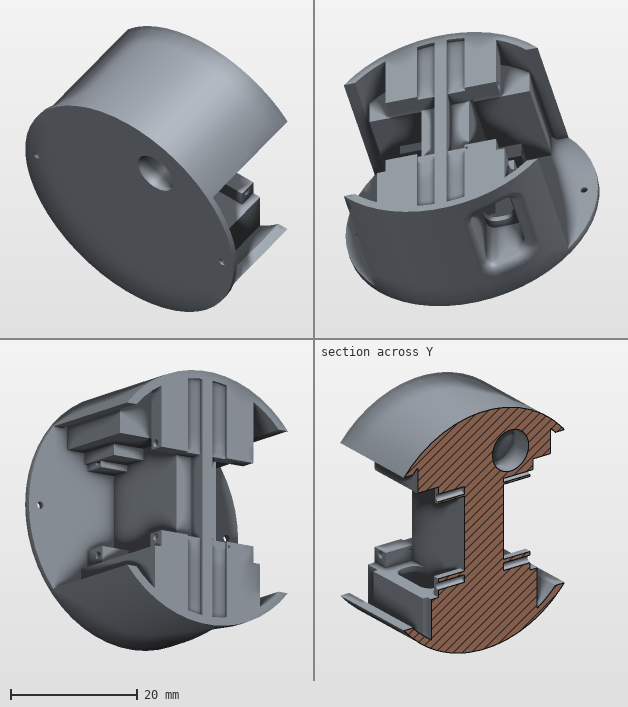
import cadquery as cq
import math

outer_diameter = 41.25
depth = 20.6
plate_thickness = 1.0
shell_thickness = 1.35
outer_radius = outer_diameter / 2
inner_radius = outer_radius - shell_thickness

side_flat_x = 15.85
window_half_height = math.sqrt(outer_radius**2 - side_flat_x**2)
core_half_width = 3.88
core_back_y = 20.0
web_half_width = 1.0

post_x = 9.03
upper_block_x = 13.05
upper_block_back_y = 15.0
upper_block_bottom_z = 9.77
lower_block_x = 10.4
lower_block_top_z = -9.25

slot_front_y = 17.65
slot_bottom_z = -6.55
slot_top_z = 7.0

rear_upper_post_front_y = 17.9
front_upper_post_back_y = 4.58
front_upper_post_bottom_z = 6.9
front_lower_post_back_y = 4.85
front_lower_post_top_z = -6.0

mount_hole_diameter = 1.25
mount_hole_spacing = 15.25
mount_center_y = 11.4
mount_center_z = 0.3

plate_hole_diameter = 1.2
plate_hole_x = 18.35
bore_diameter = 7.0
bore_x = 5.2
bore_z = 12.4
bore_depth = 7.85
bore_housing_wall = 1.0

cross_hole_diameter = 0.5
cross_hole_x = -4.25
cross_hole_z = mount_center_z - mount_hole_spacing / 2

pad_x = 11.3
pad_y = (4.7, 17.9)
opening_wall_x = 10.1
opening_y = (5.6, 17.28)
opening_corner_radius = 1.4
opening_flare_radius = 1.5
lip_thickness = 1.0
lip_width = 1.25
lip_corner_radius = 1.98
selection_margin = 0.05


def box(x_range, y_range, z_range):
    """Axis-aligned box between the given limits."""
    sizes = [high - low for low, high in (x_range, y_range, z_range)]
    corner = (x_range[0], y_range[0], z_range[0])
    return cq.Workplane("XY").box(*sizes, centered=False).translate(corner)


def rod(radius, y_start, y_end, x=0.0, z=0.0):
    """Solid cylinder parallel to Y."""
    return (
        cq.Workplane("XZ", origin=(x, y_start, z))
        .circle(radius)
        .extrude(-(y_end - y_start))
    )


def left_well_blocks():
    """Blocks and drilled posts in the left well, before trimming to the drum."""
    core_face = -core_half_width
    post_range = (-post_x, core_face)
    top = outer_radius
    front = plate_thickness
    blocks = [
        box((-upper_block_x, core_face), (front, upper_block_back_y), (upper_block_bottom_z, top)),
        box((-lower_block_x, core_face), (front, depth), (-outer_radius, lower_block_top_z)),
        box(post_range, (rear_upper_post_front_y, depth), (slot_top_z, top)),
        box(post_range, (slot_front_y, depth), (lower_block_top_z, slot_bottom_z)),
        box(post_range, (front, front_upper_post_back_y),
            (front_upper_post_bottom_z, upper_block_bottom_z)),
        box(post_range, (front, front_lower_post_back_y),
            (lower_block_top_z, front_lower_post_top_z)),
    ]
    body = blocks[0]
    for block in blocks[1:]:
        body = body.union(block)
    holes = (
        cq.Workplane("YZ", origin=(-post_x, mount_center_y, mount_center_z))
        .rect(mount_hole_spacing, mount_hole_spacing, forConstruction=True)
        .vertices()
        .circle(mount_hole_diameter / 2)
        .extrude(post_x - core_half_width)
    )
    return body.cut(holes)


def core():
    """Middle block with a thin full-depth web and a rear slot on each side."""
    full_z = (-outer_radius, outer_radius)
    half_width = core_half_width
    block = box((-half_width, half_width), (0, core_back_y), full_z)
    slots = box((-half_width, half_width), (slot_front_y, depth), (slot_bottom_z, slot_top_z))
    web = box((-web_half_width, web_half_width), (0, depth), full_z)
    return block.cut(slots).union(web)


def bore_housing():
    """Block in the right well that closes the bore in the front plate all around."""
    reach = bore_diameter / 2 + bore_housing_wall
    return box(
        (core_half_width, bore_x + reach),
        (0, bore_depth + bore_housing_wall),
        (bore_z - reach, bore_z + reach),
    )


def shell():
    """Tube whose wall is removed at both side windows."""
    tube = rod(outer_radius, 0, depth).cut(rod(inner_radius, 0, depth))
    window = box(
        (-outer_radius, outer_radius),
        (plate_thickness, depth),
        (-window_half_height, window_half_height),
    )
    return tube.cut(window)


def opening_prism(inset, corner_radius, z_bottom, z_top):
    """Vertical prism with rounded corners, inset on all sides but the core side."""
    low_y = opening_y[0] + inset
    high_y = opening_y[1] - inset
    prism = box((-opening_wall_x + inset, -core_half_width), (low_y, high_y), (z_bottom, z_top))
    return prism.edges("|Z").fillet(corner_radius)


def add_bottom_opening(body):
    """Opening from the underside, flared at the drum surface and lipped at its top."""
    pad = box((-pad_x, -lower_block_x), pad_y, (-outer_radius, lower_block_top_z))
    body = body.union(pad.intersect(rod(outer_radius, 0, depth)))
    lip_bottom_z = lower_block_top_z - lip_thickness
    body = body.cut(opening_prism(0, opening_corner_radius, -outer_radius, lip_bottom_z))
    mouth = cq.selectors.BoxSelector(
        (-opening_wall_x - selection_margin, opening_y[0] - selection_margin, -outer_radius),
        (-core_half_width + selection_margin, opening_y[1] + selection_margin, -window_half_height),
        boundingbox=True,
    )
    body = body.edges(mouth).edges("not |Z").fillet(opening_flare_radius)
    return body.cut(opening_prism(lip_width, lip_corner_radius, lip_bottom_z, lower_block_top_z))


left_blocks = left_well_blocks()
inside = core().union(left_blocks).union(left_blocks.mirror("YZ")).union(bore_housing())
inside = inside.intersect(rod(outer_radius, 0, depth))
result = rod(outer_radius, 0, plate_thickness).union(shell()).union(inside)
result = add_bottom_opening(result)

for hole_x in (-plate_hole_x, plate_hole_x):
    result = result.cut(rod(plate_hole_diameter / 2, 0, plate_thickness, hole_x))
result = result.cut(rod(bore_diameter / 2, 0, bore_depth, bore_x, bore_z))

cross_hole = rod(cross_hole_diameter / 2, slot_front_y, depth, cross_hole_x, cross_hole_z)
result = result.cut(cross_hole)